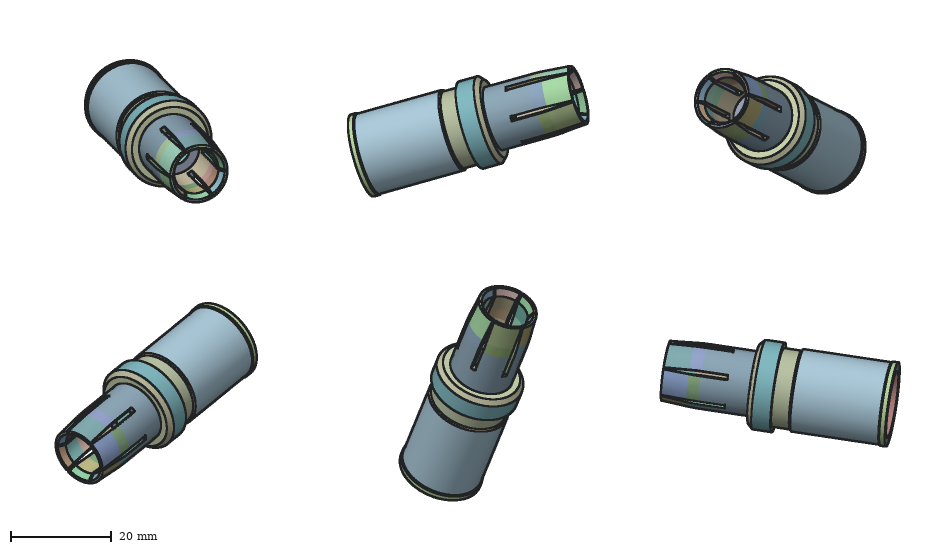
import cadquery as cq
import math

total_length = 45.6
lip_radius = 8.5
lip_width = 1.1
lip_taper_length = 0.25
barrel_radius = 8.3
barrel_end = 19.05
neck_radius = 7.95
neck_start = barrel_end + (barrel_radius - neck_radius)
flange_start = 23.0
flange_end = 27.8
flange_diameter = 18.0
flange_radius = flange_diameter / 2
flange_chamfer = 1.0

socket_radius = 6.5
tip_radius = 6.0
bend_center = 39.1
bend_half_length = 1.25
bend_start = bend_center - bend_half_length
bend_end = bend_center + bend_half_length
lean_slope = (socket_radius - tip_radius) / (total_length - bend_center)

entry_radius = 6.75
entry_depth = 1.8
barrel_bore_radius = 5.75
barrel_bore_end = 18.25
drill_tip_angle = 118.0
through_radius = 3.0
socket_bore_radius = 5.0
socket_bore_start = 31.0
tip_chamfer_length = 1.5
tip_chamfer_depth = 0.78

slot_count = 6
slot_start = 32.6
slot_width = 1.0
slot_tip_width = 0.35


def leaned_radius(straight_radius, x):
    """Radius at x, beyond the bend, of a finger surface that was straight before it."""
    return straight_radius - lean_slope * (x - bend_center)


def revolve_about_x(profile):
    return profile.close().revolve(360, (0, 0, 0), (1, 0, 0))


def make_body():
    """Solid outer form: lip, barrel, neck, flange and tapered socket."""
    profile = (
        cq.Workplane("XY")
        .lineTo(0, lip_radius)
        .lineTo(lip_width, lip_radius)
        .lineTo(lip_width + lip_taper_length, barrel_radius)
        .lineTo(barrel_end, barrel_radius)
        .lineTo(neck_start, neck_radius)
        .lineTo(flange_start, neck_radius)
        .lineTo(flange_start, flange_radius)
        .lineTo(flange_end - flange_chamfer, flange_radius)
        .lineTo(flange_end, flange_radius - flange_chamfer)
        .lineTo(flange_end, socket_radius)
        .lineTo(bend_start, socket_radius)
        .tangentArcPoint((bend_end, leaned_radius(socket_radius, bend_end)), relative=False)
        .lineTo(total_length, tip_radius)
        .lineTo(total_length, 0)
    )
    return revolve_about_x(profile)


def make_bore():
    """Chamfered barrel bore with a drill cone, a narrow passage and the socket bore."""
    cone_length = (barrel_bore_radius - through_radius) / math.tan(math.radians(drill_tip_angle / 2))
    chamfer_start = total_length - tip_chamfer_length
    chamfer_start_radius = leaned_radius(socket_bore_radius, chamfer_start)
    profile = (
        cq.Workplane("XY")
        .lineTo(0, entry_radius)
        .lineTo(entry_depth, barrel_bore_radius)
        .lineTo(barrel_bore_end, barrel_bore_radius)
        .lineTo(barrel_bore_end + cone_length, through_radius)
        .lineTo(socket_bore_start, through_radius)
        .lineTo(socket_bore_start, socket_bore_radius)
        .lineTo(bend_start, socket_bore_radius)
        .tangentArcPoint((bend_end, leaned_radius(socket_bore_radius, bend_end)), relative=False)
        .lineTo(chamfer_start, chamfer_start_radius)
        .lineTo(total_length, chamfer_start_radius + tip_chamfer_depth)
        .lineTo(total_length, 0)
    )
    return revolve_about_x(profile)


def make_slot(angle):
    """One slot from the axis outward, narrowing from the bend to the tip."""
    return (
        cq.Workplane("XZ")
        .moveTo(slot_start, slot_width / 2)
        .lineTo(bend_center, slot_width / 2)
        .lineTo(total_length, slot_tip_width / 2)
        .lineTo(total_length, -slot_tip_width / 2)
        .lineTo(bend_center, -slot_width / 2)
        .lineTo(slot_start, -slot_width / 2)
        .close()
        .extrude(socket_radius)
        .rotate((0, 0, 0), (1, 0, 0), angle)
    )


result = make_body().cut(make_bore())
for index in range(slot_count):
    result = result.cut(make_slot(index * 360 / slot_count))